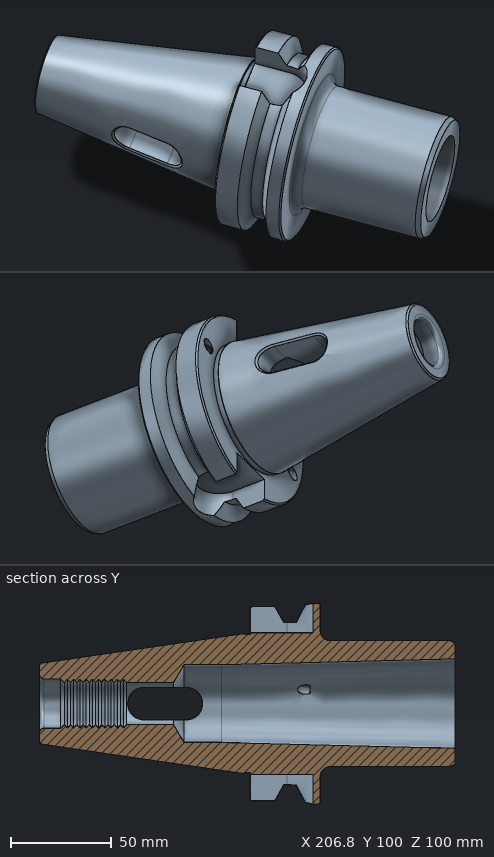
import cadquery as cq
import math

total_length = 206.8

taper_large_radius = 35.0
taper_length = 101.7
taper_rate = 7 / 48
taper_small_radius = taper_large_radius - taper_rate * taper_length
tip_chamfer = 0.8
neck_radius = 34.5

flange_start = 104.8
flange_end = 139.8
flange_radius = 50.0
flange_edge = 0.8
groove_radius = 42.4
groove_centre = 124.7
groove_floor_half = 3.0
groove_mouth_half = groove_floor_half + (flange_radius - groove_radius) * math.tan(math.radians(30))

nose_radius = 31.5
nose_fillet = 5.0
nose_chamfer_length = 2.5
nose_chamfer_depth = 1.2

key_width = 25.6
key_floor = 35.4
key_end = 136.0

drift_start = 44.0
drift_end = 81.0
drift_height = 16.0
drift_chamfer = 1.0

socket_mouth_radius = 22.1
socket_end_radius = 19.2
socket_taper_end = 90.5
socket_end = 72.0
drill_half_angle = 60

drawbar_radius = 10.3
drawbar_pitch = 3.0
counterbore_radius = 12.2
counterbore_depth = 10.5
entry_fillet = 2.3

coolant_entry_radius = 3.3
coolant_entry_depth = 2.5
coolant_radius = 2.5
coolant_pitch = 1.0
coolant_thread_length = 10.3
coolant_circle_radius = 41.8
coolant_clock_angle = 20.4
coolant_slope = 38

thread_depth_ratio = 0.54


def make_body():
    """Outer profile turned about the X axis."""
    arc_turn = nose_fillet * (1 - math.sqrt(0.5))
    nose_start = flange_end + nose_fillet
    profile = (
        cq.Workplane("XZ")
        .moveTo(0, 0)
        .lineTo(0, taper_small_radius - tip_chamfer)
        .lineTo(tip_chamfer, taper_small_radius + taper_rate * tip_chamfer)
        .lineTo(taper_length, taper_large_radius)
        .lineTo(taper_length + taper_large_radius - neck_radius, neck_radius)
        .lineTo(flange_start, neck_radius)
        .lineTo(flange_start, flange_radius - flange_edge)
        .lineTo(flange_start + flange_edge, flange_radius)
        .lineTo(groove_centre - groove_mouth_half, flange_radius)
        .lineTo(groove_centre - groove_floor_half, groove_radius)
        .lineTo(groove_centre + groove_floor_half, groove_radius)
        .lineTo(groove_centre + groove_mouth_half, flange_radius)
        .lineTo(flange_end - flange_edge, flange_radius)
        .lineTo(flange_end, flange_radius - flange_edge)
        .lineTo(flange_end, nose_radius + nose_fillet)
        .threePointArc((flange_end + arc_turn, nose_radius + arc_turn), (nose_start, nose_radius))
        .lineTo(total_length - nose_chamfer_length, nose_radius)
        .lineTo(total_length, nose_radius - nose_chamfer_depth)
        .lineTo(total_length, 0)
        .close()
    )
    return profile.revolve(360, (0, 0, 0), (1, 0, 0))


def make_drift_slot():
    """Round-ended slot cutter along Y."""
    return (
        cq.Workplane("XZ")
        .center((drift_start + drift_end) / 2, 0)
        .slot2D(drift_end - drift_start, drift_height)
        .extrude(flange_radius, both=True)
    )


def thread_bore(profile, start, length, radius, pitch):
    """Continue a bore outline along +X with one V ring per thread pitch."""
    root_radius = radius + thread_depth_ratio * pitch
    turns = math.floor(length / pitch)
    for turn in range(turns):
        ring_start = start + turn * pitch
        profile = profile.lineTo(ring_start + pitch / 2, root_radius).lineTo(ring_start + pitch, radius)
    return profile


def make_bore():
    """Threaded drawbar bore and Morse socket turned about the X axis."""
    arc_turn = entry_fillet * (1 - math.sqrt(0.5))
    thread_start = counterbore_depth + counterbore_radius - drawbar_radius
    drill_point_length = (socket_end_radius - drawbar_radius) / math.tan(math.radians(drill_half_angle))
    profile = (
        cq.Workplane("XZ")
        .moveTo(0, 0)
        .lineTo(0, counterbore_radius + entry_fillet)
        .threePointArc((arc_turn, counterbore_radius + arc_turn), (entry_fillet, counterbore_radius))
        .lineTo(counterbore_depth, counterbore_radius)
        .lineTo(thread_start, drawbar_radius)
    )
    thread_length = drift_start - thread_start
    profile = thread_bore(profile, thread_start, thread_length, drawbar_radius, drawbar_pitch)
    profile = (
        profile
        .lineTo(socket_end - drill_point_length, drawbar_radius)
        .lineTo(socket_end, socket_end_radius)
        .lineTo(socket_taper_end, socket_end_radius)
        .lineTo(total_length, socket_mouth_radius)
        .lineTo(total_length, 0)
        .close()
    )
    return profile.revolve(360, (0, 0, 0), (1, 0, 0))


def make_key_slot():
    """Cutter for the +Z drive key slot, rounded at its +X end."""
    half_width = key_width / 2
    return (
        cq.Workplane("XY")
        .workplane(offset=key_floor)
        .moveTo(taper_length, -half_width)
        .lineTo(key_end - half_width, -half_width)
        .threePointArc((key_end, 0), (key_end - half_width, half_width))
        .lineTo(taper_length, half_width)
        .close()
        .extrude(flange_radius)
    )


def make_coolant_hole():
    """Cutter for the +Y coolant hole, sloping from the flange face towards the axis."""
    lead_in = 2 * coolant_entry_radius
    depth = (coolant_circle_radius - socket_end_radius) / math.sin(math.radians(coolant_slope))
    profile = (
        cq.Workplane("XY")
        .moveTo(-lead_in, 0)
        .lineTo(-lead_in, coolant_entry_radius)
        .lineTo(coolant_entry_depth, coolant_entry_radius)
        .lineTo(coolant_entry_depth, coolant_radius)
    )
    profile = thread_bore(profile, coolant_entry_depth, coolant_thread_length, coolant_radius, coolant_pitch)
    profile = profile.lineTo(depth, coolant_radius).lineTo(depth, 0).close()
    return (
        profile.revolve(360, (0, 0, 0), (1, 0, 0))
        .rotate((0, 0, 0), (0, 0, 1), -coolant_slope)
        .translate((flange_start, coolant_circle_radius, 0))
        .rotate((0, 0, 0), (1, 0, 0), coolant_clock_angle)
    )


def chamfer_drift_slot(body):
    """Break the slot's rims, the curved edges where it leaves the taper."""
    slot_region = cq.selectors.BoxSelector(
        (drift_start - drift_chamfer, -flange_radius, -drift_height),
        (drift_end + drift_chamfer, flange_radius, drift_height),
    )
    return body.edges(slot_region).edges("not %LINE").chamfer(drift_chamfer)


result = chamfer_drift_slot(make_body().cut(make_drift_slot()))
for turn in (0, 180):
    result = result.cut(make_key_slot().rotate((0, 0, 0), (1, 0, 0), turn))
    result = result.cut(make_coolant_hole().rotate((0, 0, 0), (1, 0, 0), turn))
result = result.cut(make_bore())